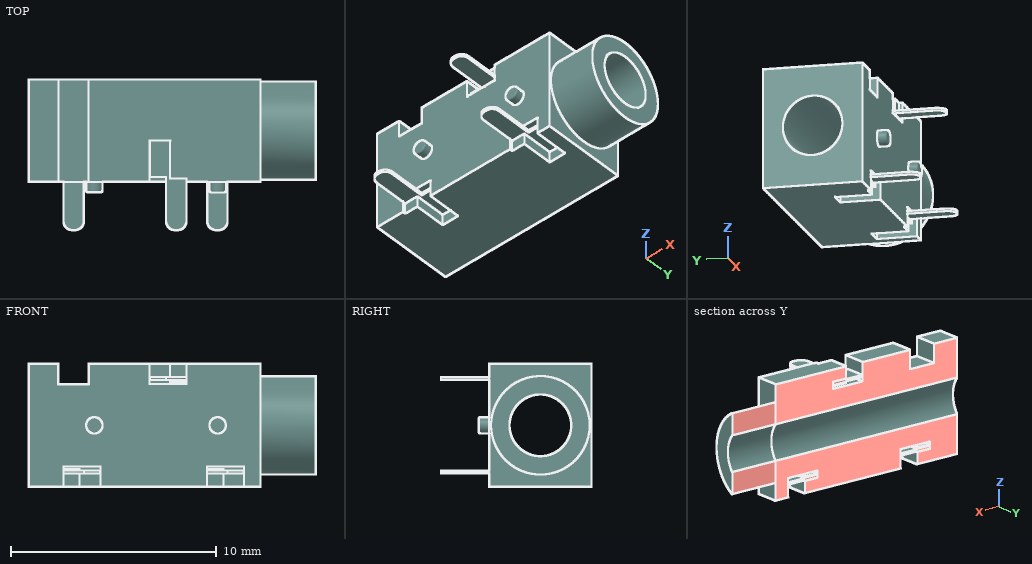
import cadquery as cq

TOTAL_LENGTH = 14.0
HOUSING_LENGTH = 11.3
HOUSING_DEPTH = 5.0
HOUSING_HEIGHT = 6.0
MOUNTING_FACE_Y = -HOUSING_DEPTH / 2
BORE_DIAMETER = 3.0

GROOVE_START = 1.45
GROOVE_WIDTH = 1.47
GROOVE_DEPTH = 1.0

BARREL_DIAMETER = 4.8
BARREL_LENGTH = TOTAL_LENGTH - HOUSING_LENGTH

PEG_DIAMETER = 0.8
PEG_LENGTH = 0.5
PEG_FILLET = 0.08
FIRST_PEG_X = 3.2
PEG_SPACING = 6.0

POCKET_WIDTH = 1.8
POCKET_HEIGHT = 1.0
POCKET_DEPTH = 2.02
SHOULDER_WIDTH = 0.8
SHOULDER_HEIGHT = 0.88
SHOULDER_SETBACK = 0.17

TERMINAL_THICKNESS = 0.14
TERMINAL_INSET = 0.66
BLADE_WIDTH = 1.01
BLADE_PROJECTION = 2.35
BLADE_CORNER_RADIUS = 0.45
PLATE_SETBACK = 0.25
PLATE_SIDE_GAP = 0.03

TOP_WALL_X = 7.7
BOTTOM_WALL_XS = [1.7, 8.7]


def box_between(x_range, y_range, z_range):
    """Box that spans the given (low, high) ranges."""
    size = [high - low for low, high in (x_range, y_range, z_range)]
    corner = (x_range[0], y_range[0], z_range[0])
    return cq.Workplane("XY").box(*size, centered=False).translate(corner)


def place_at_wall(shape, wall_x, on_top):
    """Move a shape made for the top at X = 0; for the bottom, turn it half a turn about Y first."""
    if not on_top:
        shape = shape.rotate((0, 0, 0), (0, 1, 0), 180)
    return shape.translate((wall_x, 0, 0))


def make_pocket():
    """Space to remove for one terminal, on the top, with its blade-side wall at X = 0."""
    top_z = HOUSING_HEIGHT / 2
    back_y = MOUNTING_FACE_Y + POCKET_DEPTH
    pocket = box_between(
        (-POCKET_WIDTH, 0), (MOUNTING_FACE_Y, back_y), (top_z - POCKET_HEIGHT, top_z)
    )
    shoulder = box_between(
        (-SHOULDER_WIDTH, 0),
        (MOUNTING_FACE_Y + SHOULDER_SETBACK, back_y),
        (top_z - SHOULDER_HEIGHT, top_z),
    )
    return pocket.cut(shoulder)


def make_terminal():
    """One terminal, on the top, with the outer edge of its blade at X = 0."""
    plate_left = PLATE_SIDE_GAP - POCKET_WIDTH
    plate_back = MOUNTING_FACE_Y + POCKET_DEPTH
    plate_front = MOUNTING_FACE_Y + PLATE_SETBACK
    tip_y = MOUNTING_FACE_Y - BLADE_PROJECTION
    return (
        cq.Workplane("XY")
        .workplane(offset=HOUSING_HEIGHT / 2 - TERMINAL_INSET)
        .moveTo(0, plate_back)
        .lineTo(plate_left, plate_back)
        .lineTo(plate_left, plate_front)
        .lineTo(-BLADE_WIDTH, plate_front)
        .lineTo(-BLADE_WIDTH, tip_y)
        .lineTo(0, tip_y)
        .close()
        .extrude(-TERMINAL_THICKNESS)
        .faces("<Y")
        .edges("|Z")
        .fillet(BLADE_CORNER_RADIUS)
    )


def make_housing(wall_places):
    """Block with the bore, the top groove, and a pocket and shoulder slit per terminal."""
    top_z = HOUSING_HEIGHT / 2
    block = cq.Workplane("XY").box(
        HOUSING_LENGTH, HOUSING_DEPTH, HOUSING_HEIGHT, centered=(False, True, True)
    )
    bore = cq.Workplane("YZ").circle(BORE_DIAMETER / 2).extrude(HOUSING_LENGTH)
    groove = box_between(
        (GROOVE_START, GROOVE_START + GROOVE_WIDTH),
        (MOUNTING_FACE_Y, -MOUNTING_FACE_Y),
        (top_z - GROOVE_DEPTH, top_z),
    )
    housing = block.cut(bore).cut(groove)
    for wall_x, on_top in wall_places:
        housing = housing.cut(place_at_wall(make_pocket(), wall_x, on_top))
        housing = housing.cut(place_at_wall(make_terminal(), wall_x, on_top))
    return housing


def make_barrel():
    """Tube that stands on the right end of the housing."""
    return (
        cq.Workplane("YZ")
        .workplane(offset=HOUSING_LENGTH)
        .circle(BARREL_DIAMETER / 2)
        .circle(BORE_DIAMETER / 2)
        .extrude(BARREL_LENGTH)
    )


def make_peg(x):
    """Peg that stands on the mounting face, with a rounded free edge."""
    return (
        cq.Workplane("XZ", origin=(x, MOUNTING_FACE_Y, 0))
        .circle(PEG_DIAMETER / 2)
        .extrude(PEG_LENGTH)
        .faces("<Y")
        .fillet(PEG_FILLET)
    )


wall_places = [(TOP_WALL_X, True)] + [(x, False) for x in BOTTOM_WALL_XS]

housing = make_housing(wall_places)
barrel = make_barrel()
terminals = [place_at_wall(make_terminal(), wall_x, on_top) for wall_x, on_top in wall_places]
pegs = [make_peg(x) for x in (FIRST_PEG_X, FIRST_PEG_X + PEG_SPACING)]

bodies = [housing, barrel, *terminals, *pegs]
result = cq.Compound.makeCompound([body.val() for body in bodies])